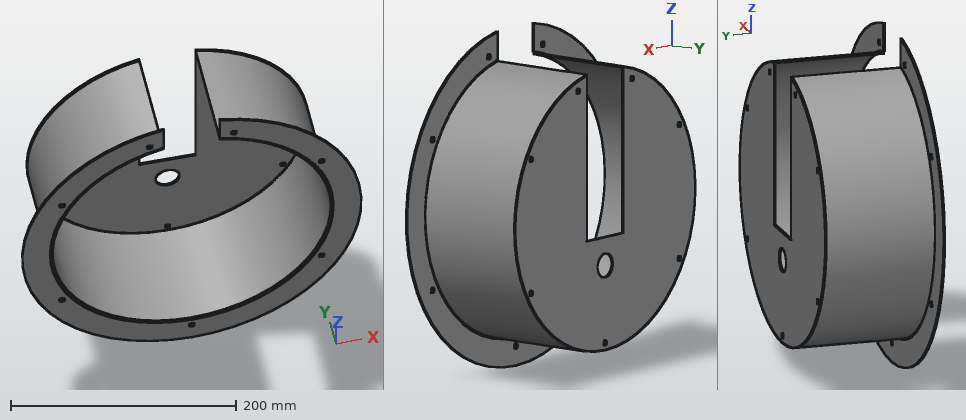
import cadquery as cq
import math

flange_diameter = 308.0
total_depth = 103.2
sheet_thickness = 1.5

wall_outer_radius = 127.8
wall_recess = 1.0
flange_clearance = 1.0
back_plate_radius = 127.2

slot_width = 51.0
slot_bottom_z = -slot_width / 2
slot_height = flange_diameter

cable_hole_diameter = 21.5
cable_hole_z = -slot_width
flange_hole_diameter = 5.0
flange_hole_circle_radius = 136.0
plate_hole_diameter = 4.5
plate_hole_circle_radius = 121.0
circle_hole_angles = [-90, -150, -30, 150, 30]
slot_hole_x = slot_width / 2 + 12.5
flange_slot_hole_z = 131.0
plate_slot_hole_z = 112.0

plate_front_y = total_depth - sheet_thickness
wall_length = total_depth - wall_recess
wall_inner_radius = wall_outer_radius - sheet_thickness


def disc(radius, start_y, length):
    """Cylinder along +Y, starting at start_y."""
    return cq.Workplane("XZ", origin=(0, start_y, 0)).circle(radius).extrude(-length)


def cut_slot(body):
    """Cut the square-bottomed slot through the full depth of a body."""
    slot = cq.Workplane("XY").box(
        slot_width, total_depth, slot_height, centered=(True, False, False)
    )
    return body.cut(slot.translate((0, 0, slot_bottom_z)))


def cut_holes(body, points, diameter):
    """Cut through holes along Y at the given (x, z) points."""
    holes = cq.Workplane("XZ").pushPoints(points).circle(diameter / 2).extrude(-total_depth)
    return body.cut(holes)


def fastener_points(circle_radius, slot_hole_z):
    """Five holes on a circle, plus one hole on each side of the slot."""
    points = []
    for angle in circle_hole_angles:
        radians = math.radians(angle)
        points.append((circle_radius * math.cos(radians), circle_radius * math.sin(radians)))
    for side in (-1, 1):
        points.append((side * slot_hole_x, slot_hole_z))
    return points


def make_flange():
    """Flat front ring that surrounds the wall."""
    opening = disc(wall_outer_radius + flange_clearance, 0, sheet_thickness)
    ring = disc(flange_diameter / 2, 0, sheet_thickness).cut(opening)
    points = fastener_points(flange_hole_circle_radius, flange_slot_hole_z)
    return cut_holes(cut_slot(ring), points, flange_hole_diameter)


def make_wall():
    """Thin round wall with a rear recess that holds the back plate."""
    bore = disc(wall_inner_radius, wall_recess, wall_length)
    tube = disc(wall_outer_radius, wall_recess, wall_length).cut(bore)
    plate_recess = disc(back_plate_radius, plate_front_y, sheet_thickness)
    return cut_slot(tube.cut(plate_recess))


def make_back_plate():
    """Flat plate that sits in the rear recess of the wall, flush with it."""
    plate = cut_slot(disc(back_plate_radius, plate_front_y, sheet_thickness))
    points = fastener_points(plate_hole_circle_radius, plate_slot_hole_z)
    plate = cut_holes(plate, points, plate_hole_diameter)
    return cut_holes(plate, [(0, cable_hole_z)], cable_hole_diameter)


flange = make_flange()
wall = make_wall()
back_plate = make_back_plate()

result = cq.Compound.makeCompound([flange.val(), wall.val(), back_plate.val()])